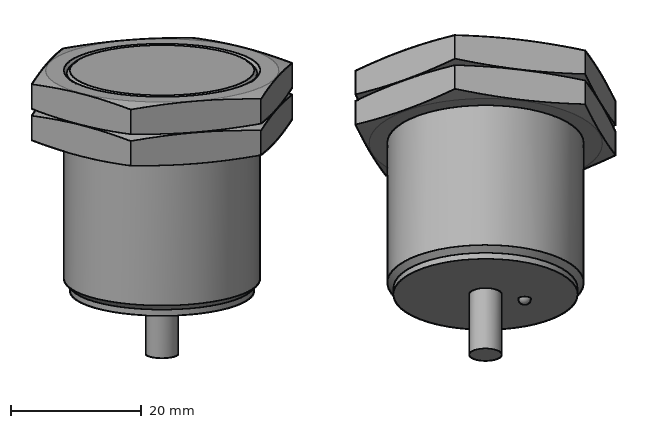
import cadquery as cq
import math

total_height = 45.0
cable_length = 10.0
cable_diameter = 5.0
barrel_diameter = 30.0
end_diameter = 28.15
end_collar_height = 1.0

lamp_radius = 1.0
lamp_inset = 0.1
lamp_offset = 6.25

nut_count = 2
nut_height = 5.0
nut_across_flats = 36.0
nut_bore_diameter = 28.4
nut_face_diameter = 35.65
nut_corner_drop = 0.55

barrel_height = total_height - cable_length
barrel_radius = barrel_diameter / 2
end_radius = end_diameter / 2
end_chamfer = barrel_radius - end_radius
nut_across_corners = nut_across_flats / math.cos(math.pi / 6)
nut_corner_radius = nut_across_corners / 2
nut_face_radius = nut_face_diameter / 2
nut_bore_radius = nut_bore_diameter / 2
nut_bore_chamfer = barrel_radius - nut_bore_radius


def revolve_profile(points):
    """Revolve a closed (radius, height) outline around the Z axis."""
    return cq.Workplane("XZ").polyline(points).close().revolve(360, (0, 0), (0, 1))


def make_barrel():
    """Chamfered cylinder standing on top of the cable."""
    bottom = cable_length
    collar_top = bottom + end_collar_height
    return revolve_profile([
        (0, bottom),
        (end_radius, bottom),
        (end_radius, collar_top),
        (barrel_radius, collar_top + end_chamfer),
        (barrel_radius, total_height - end_chamfer),
        (end_radius, total_height),
        (0, total_height),
    ])


def make_sensor():
    """Barrel with its cable stub and indicator lamp, as one body."""
    cable = cq.Workplane("XY").circle(cable_diameter / 2).extrude(cable_length)
    lamp_center = (0, -lamp_offset, cable_length + lamp_inset)
    lamp = cq.Workplane("XY").sphere(lamp_radius).translate(lamp_center)
    return make_barrel().union(cable).union(lamp)


def make_nut(bottom):
    """Hexagon nut with chamfered corners and bore, fitted around the barrel."""
    hexagon = (
        cq.Workplane("XY")
        .polygon(6, nut_across_corners)
        .extrude(nut_height)
        .rotate((0, 0, 0), (0, 0, 1), 30)
    )
    turned_blank = revolve_profile([
        (barrel_radius, 0),
        (nut_face_radius, 0),
        (nut_corner_radius, nut_corner_drop),
        (nut_corner_radius, nut_height - nut_corner_drop),
        (nut_face_radius, nut_height),
        (barrel_radius, nut_height),
        (nut_bore_radius, nut_height - nut_bore_chamfer),
        (nut_bore_radius, nut_bore_chamfer),
    ])
    nut = hexagon.intersect(turned_blank).translate((0, 0, bottom))
    return nut.cut(make_barrel())


sensor = make_sensor()
nuts = [make_nut(total_height - (index + 1) * nut_height) for index in range(nut_count)]

result = cq.Compound.makeCompound([sensor.solids().val(), *[nut.solids().val() for nut in nuts]])